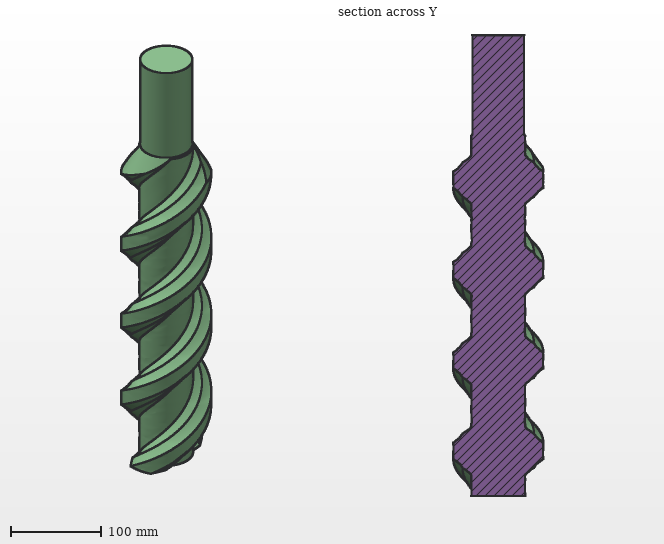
import cadquery as cq
import math

TOTAL_LENGTH = 510.0
FLUTED_LENGTH = 400.0
CUTTING_DIAMETER = 100.0
CORE_DIAMETER = 60.0
SHANK_DIAMETER = 58.0
HELIX_LEAD = 200.0
LAND_WIDTH = 28.0
NECK_WIDTH = 45.0
SHOULDER_HEIGHT = 32.5
RUNOUT_HALF_ANGLE = 30.0

cutting_radius = CUTTING_DIAMETER / 2
core_radius = CORE_DIAMETER / 2
shank_radius = SHANK_DIAMETER / 2
half_land = LAND_WIDTH / 2
half_neck = NECK_WIDTH / 2
land_height = math.sqrt(cutting_radius**2 - half_land**2)
neck_root_height = math.sqrt(core_radius**2 - half_neck**2)


def fluted_section():
    """Round core with two opposite lobes: straight neck, tapered flanks and a round land."""
    outline = cq.Workplane("XY").moveTo(half_neck, neck_root_height)
    for side in (1, -1):
        outline = (
            outline.lineTo(side * half_neck, side * SHOULDER_HEIGHT)
            .lineTo(side * half_land, side * land_height)
            .threePointArc((0, side * cutting_radius), (-side * half_land, side * land_height))
            .lineTo(-side * half_neck, side * SHOULDER_HEIGHT)
            .lineTo(-side * half_neck, side * neck_root_height)
            .threePointArc((-side * core_radius, 0), (-side * half_neck, -side * neck_root_height))
        )
    return outline.close()


def runout_envelope():
    """Solid of revolution that narrows as a cone to the shank radius at the top of the flutes."""
    outer_radius = 2 * cutting_radius
    cone_length = (outer_radius - shank_radius) / math.tan(math.radians(RUNOUT_HALF_ANGLE))
    profile = [
        (0, 0),
        (outer_radius, 0),
        (outer_radius, FLUTED_LENGTH - cone_length),
        (shank_radius, FLUTED_LENGTH),
        (0, FLUTED_LENGTH),
    ]
    return cq.Workplane("XZ").polyline(profile).close().revolve(360, (0, 0), (0, 1))


twist = 360.0 * FLUTED_LENGTH / HELIX_LEAD
fluted_body = fluted_section().twistExtrude(FLUTED_LENGTH, twist).intersect(runout_envelope())

shank = (
    cq.Workplane("XY")
    .workplane(offset=FLUTED_LENGTH)
    .circle(shank_radius)
    .extrude(TOTAL_LENGTH - FLUTED_LENGTH)
)

result = fluted_body.union(shank)